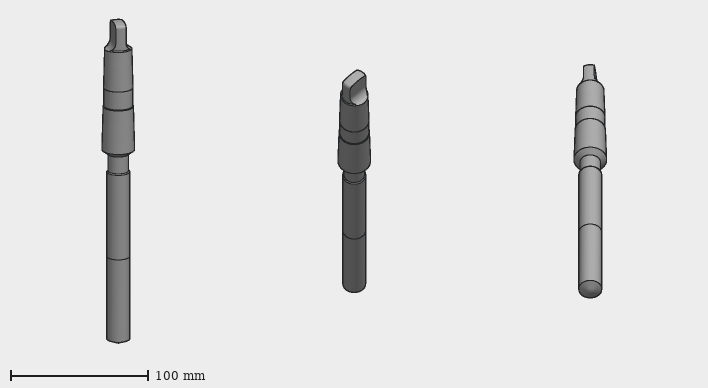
import cadquery as cq
import math

TOTAL_LENGTH = 247.6
POINT_HEIGHT = 3.5
HEAD_TOP = 66.9
NECK_BOTTOM = 132.7
NECK_TOP = 145.5
TAPER_BOTTOM = 149.0
RELIEF_BOTTOM = 182.3
RELIEF_TOP = 196.6
TAPER_TOP = 226.8

DRILL_DIAMETER = 16.8
NECK_DIAMETER = 15.0
TAPER_DIAMETER = 24.0
RELIEF_DIAMETER = 21.3
TANG_DIAMETER = 18.5

TAPER_RATIO = 19.9

TANG_THICKNESS = 8.0
TANG_ANGLE = -23.0
TANG_FLAT_BOTTOM = 233.3
TANG_RUNOUT_RADIUS = 7.0
TANG_RIM_WIDTH = 2.0
TANG_RIM_HEIGHT = 2.5
TANG_DOME_RISE = 1.0


def taper_radius(height):
    """Radius of the tapered shank at a given height."""
    return (TAPER_DIAMETER - (height - TAPER_BOTTOM) / TAPER_RATIO) / 2


def make_head():
    """Plain cylindrical drill head with a conical point."""
    radius = DRILL_DIAMETER / 2
    return (
        cq.Workplane("XZ")
        .moveTo(0, 0)
        .lineTo(radius, POINT_HEIGHT)
        .lineTo(radius, HEAD_TOP)
        .lineTo(0, HEAD_TOP)
        .close()
        .revolve(360, (0, 0), (0, 1))
    )


def make_shank_blank():
    """Turned shank: body, neck, relieved taper and domed tang blank."""
    tang_radius = TANG_DIAMETER / 2
    neck_step = (DRILL_DIAMETER - NECK_DIAMETER) / 2
    relief_step = taper_radius(RELIEF_BOTTOM) - RELIEF_DIAMETER / 2
    shoulder_step = taper_radius(TAPER_TOP) - tang_radius
    dome_radius = tang_radius - TANG_RIM_WIDTH
    dome_edge = TOTAL_LENGTH - TANG_DOME_RISE
    rim_bottom = dome_edge - TANG_RIM_HEIGHT
    rim_radius = (TANG_RIM_WIDTH**2 + TANG_RIM_HEIGHT**2) / (2 * TANG_RIM_WIDTH)
    rim_sweep = math.asin(TANG_RIM_HEIGHT / rim_radius)
    rim_middle_x = tang_radius - rim_radius * (1 - math.cos(rim_sweep / 2))
    rim_middle_z = rim_bottom + rim_radius * math.sin(rim_sweep / 2)
    sphere_radius = (dome_radius**2 + TANG_DOME_RISE**2) / (2 * TANG_DOME_RISE)
    dome_middle_x = dome_radius / 2
    dome_middle_z = TOTAL_LENGTH - sphere_radius + math.sqrt(sphere_radius**2 - dome_middle_x**2)
    return (
        cq.Workplane("XZ")
        .moveTo(0, HEAD_TOP)
        .lineTo(DRILL_DIAMETER / 2, HEAD_TOP)
        .lineTo(DRILL_DIAMETER / 2, NECK_BOTTOM - neck_step)
        .lineTo(NECK_DIAMETER / 2, NECK_BOTTOM)
        .lineTo(NECK_DIAMETER / 2, NECK_TOP)
        .lineTo(TAPER_DIAMETER / 2, TAPER_BOTTOM)
        .lineTo(taper_radius(RELIEF_BOTTOM), RELIEF_BOTTOM)
        .lineTo(RELIEF_DIAMETER / 2, RELIEF_BOTTOM + relief_step)
        .lineTo(RELIEF_DIAMETER / 2, RELIEF_TOP)
        .lineTo(taper_radius(RELIEF_TOP), RELIEF_TOP)
        .lineTo(taper_radius(TAPER_TOP), TAPER_TOP)
        .lineTo(tang_radius, TAPER_TOP + shoulder_step)
        .lineTo(tang_radius, rim_bottom)
        .threePointArc((rim_middle_x, rim_middle_z), (dome_radius, dome_edge))
        .threePointArc((dome_middle_x, dome_middle_z), (0, TOTAL_LENGTH))
        .close()
        .revolve(360, (0, 0), (0, 1))
    )


def make_tang_cutter(side):
    """Cutter for one tang flat, with its rounded runout; side is +1 or -1."""
    flat = TANG_THICKNESS / 2
    runout_edge = flat + TANG_RUNOUT_RADIUS
    runout_bottom = TANG_FLAT_BOTTOM - TANG_RUNOUT_RADIUS
    inset = TANG_RUNOUT_RADIUS * (1 - math.sqrt(0.5))
    return (
        cq.Workplane("YZ")
        .moveTo(side * flat, TOTAL_LENGTH)
        .lineTo(side * flat, TANG_FLAT_BOTTOM)
        .threePointArc((side * (flat + inset), runout_bottom + inset), (side * runout_edge, runout_bottom))
        .lineTo(side * runout_edge, TOTAL_LENGTH)
        .close()
        .extrude(TAPER_DIAMETER / 2, both=True)
        .rotate((0, 0, 0), (0, 0, 1), TANG_ANGLE)
    )


def make_shank():
    """Tapered shank with two opposite flats forming the tang."""
    body = make_shank_blank()
    for side in (1, -1):
        body = body.cut(make_tang_cutter(side))
    return body


head = make_head()
shank = make_shank()

result = cq.Compound.makeCompound([head.val(), shank.val()])